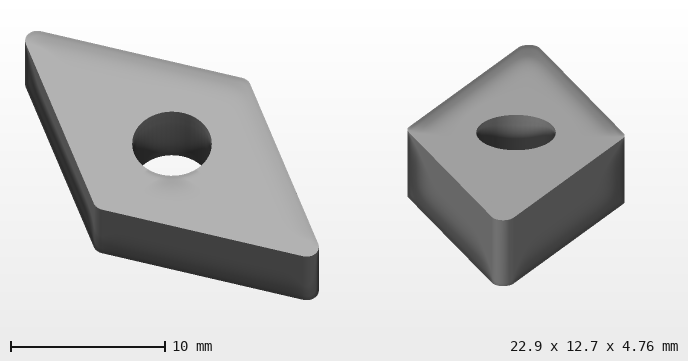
import cadquery as cq
import math

inscribed_diameter = 12.7
acute_angle = 55.0
thickness = 4.76
corner_radius = 0.794
hole_diameter = 5.16

angle = math.radians(acute_angle)
side_length = inscribed_diameter / math.sin(angle)
side_lean = inscribed_diameter / math.tan(angle)
half_height = inscribed_diameter / 2
acute_tip_x = (side_length + side_lean) / 2
obtuse_tip_x = (side_length - side_lean) / 2


def rhombic_body():
    """Rhombic plate with all four corners rounded, standing on Z = 0."""
    corners = [
        (-acute_tip_x, -half_height),
        (obtuse_tip_x, -half_height),
        (acute_tip_x, half_height),
        (-obtuse_tip_x, half_height),
    ]
    plate = cq.Workplane("XY").polyline(corners).close().extrude(thickness)
    return plate.edges("|Z").fillet(corner_radius)


def clamping_hole():
    """Cylinder through the full thickness at the plate centre."""
    return cq.Workplane("XY").circle(hole_diameter / 2).extrude(thickness)


result = rhombic_body().cut(clamping_hole())